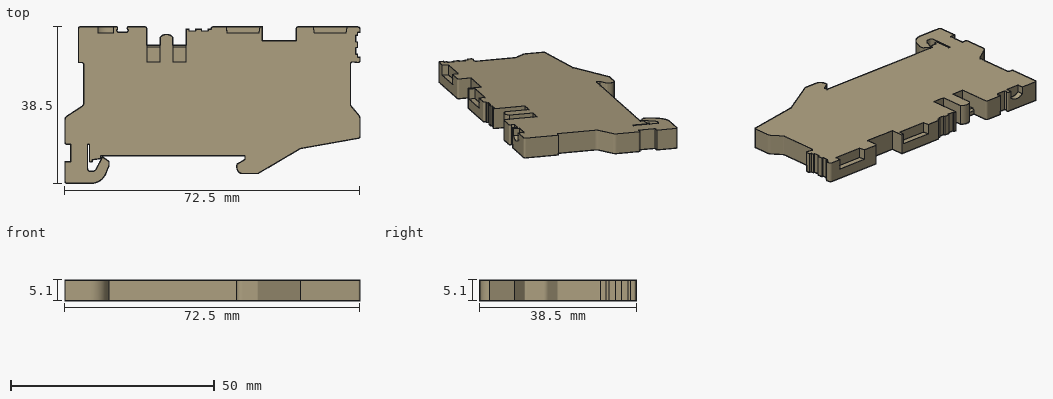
import cadquery as cq
import math

length = 72.5
height = 38.5
thickness = 5.1

edge_round = 0.5
shoulder_round = 1.0
hook_tip_round = 0.2
foot_round = 1.5

head_left = 3.3
head_bottom = 29.7
head_right_bottom = 29.6
waist_top_right = 29.9
waist_left = 4.6
waist_right = 70.15
head_right_round = 0.7

shoulder_top = 19.25
shoulder_bottom = 16.2
latch_recess_depth = 1.4
latch_recess_bottom = 5.35
latch_recess_top = 9.6

slit_left = 5.6
slit_right = 6.0
slit_bottom = 3.0
stub_bottom = 5.25
stub_right = 6.75
stub_shelf = 5.8
stub_round = 0.35
slit_round = 0.6
hook_root = 7.4
hook_root_round = 1.0
hook_tip_x = 9.2
hook_tip_y = 6.55
hook_right = 10.85
hook_nose_top = 5.4
hook_nose_bottom = 4.4
hook_heel = 9.1
hook_heel_round = 4.0

rail_left = 8.8
rail_right = 44.2
rail_seat = 6.8
rail_stub_bottom = 6.1
foot_neck_bottom = 5.9
foot_left = 42.2
foot_neck_drop = 1.2
foot_bottom = 2.4
foot_heel = 47.4
heel_round = 0.5
belly_x = 57.85
belly_y = 8.55
right_bottom = 11.15
right_shoulder_top = 19.2
right_shoulder_bottom = 16.4
right_shoulder_round = 1.5

bay_left = 20.1
bay_right = 29.75
bay_floor = 29.85
finger_left = 23.4
finger_right = 26.5
finger_shoulder = 35.9
finger_top = 36.65
web_top = 34.0
web_thickness = 1.5
web_chamfer = 0.5

gap_left = 48.5
gap_right = 56.8
gap_floor = 35.1

notch_left = 12.95
notch_right = 15.3
notch_floor = 37.2
notch_undercut = 0.25
notch_belly = 37.6
notch_neck = 38.0
notch_mouth_round = 0.3
notch_belly_round = 0.15

groove_count = 2
groove_width = 1.6
groove_pitch = 3.05
top_seat_end = 35.9
top_seat = height - 0.6
top_groove_depth = 0.4
top_groove_start = 30.5
side_seat_bottom = 31.0
side_seat_top = 37.1
side_seat_depth = 0.6
side_groove_depth = 0.45
side_groove_start = 31.75

pocket_height = 1.55
pocket_depth = 2.55
pocket_mouth = 8.3
pocket_draft = 0.25
pocket_lefts = (39.6, 61.0)
round_pocket_left = 8.15
round_pocket_width = 3.75
round_pocket_wall = 1.8
round_pocket_sag = 0.75


def rounded_outline(corners):
    """Closed wire through (x, y, radius) corners, each rounded by a tangent arc."""
    path = None
    count = len(corners)
    for i, (x, y, radius) in enumerate(corners):
        before = cq.Vector(*corners[i - 1][:2])
        after = cq.Vector(*corners[(i + 1) % count][:2])
        corner = cq.Vector(x, y)
        to_before = (before - corner).normalized()
        to_after = (after - corner).normalized()
        half_angle = to_before.getAngle(to_after) / 2
        setback = radius / math.tan(half_angle)
        start = corner + to_before * setback
        path = path.lineTo(start.x, start.y) if path else cq.Workplane().moveTo(start.x, start.y)
        if radius > 0:
            bisector = (to_before + to_after).normalized()
            middle = corner + bisector * (radius / math.sin(half_angle) - radius)
            end = corner + to_after * setback
            path = path.threePointArc((middle.x, middle.y), (end.x, end.y))
    return path.close()


def box(left, bottom, right, top):
    """Block through the full thickness of the housing."""
    size = (right - left, top - bottom, thickness)
    return cq.Workplane().box(*size, centered=False).translate((left, bottom, 0))


def housing():
    """Plate with the full side outline, listed clockwise from the upper left corner."""
    head = [
        (head_left, height, edge_round),
        (notch_left, height, notch_mouth_round),
        (notch_left, notch_neck, 0),
        (notch_left - notch_undercut, notch_belly, notch_belly_round),
        (notch_left, notch_floor, 0),
        (notch_right, notch_floor, 0),
        (notch_right + notch_undercut, notch_belly, notch_belly_round),
        (notch_right, notch_neck, 0),
        (notch_right, height, notch_mouth_round),
        (bay_left, height, edge_round),
        (bay_left, bay_floor, 0),
        (bay_right, bay_floor, 0),
        (bay_right, top_seat, 0),
        (top_seat_end, top_seat, 0),
        (top_seat_end, height, edge_round),
        (gap_left, height, 0),
        (gap_left, gap_floor, 0),
        (gap_right, gap_floor, 0),
        (gap_right, height, edge_round),
        (length, height, head_right_round),
        (length, head_right_bottom, edge_round),
        (waist_right, waist_top_right, edge_round),
    ]
    right_side = [
        (waist_right, right_shoulder_top, edge_round),
        (length, right_shoulder_bottom, right_shoulder_round),
        (length, right_bottom, edge_round),
        (belly_x, belly_y, 0),
    ]
    right_foot = [
        (foot_heel, foot_bottom, heel_round),
        (foot_left, foot_bottom, foot_round),
        (foot_left, foot_neck_bottom - foot_neck_drop, edge_round),
        (rail_right, foot_neck_bottom, 0),
        (rail_right, rail_seat, 0),
    ]
    slit = [
        (rail_left, rail_seat, 0),
        (rail_left, rail_stub_bottom, 0),
        (stub_right, stub_shelf, 0),
        (stub_right, stub_bottom, stub_round),
        (slit_right, stub_bottom, stub_round),
        (slit_right, latch_recess_top, 0),
        (slit_left, latch_recess_top, 0),
        (slit_left, slit_bottom, slit_round),
        (hook_root, slit_bottom, hook_root_round),
    ]
    hook = [
        (hook_tip_x, hook_tip_y, hook_tip_round),
        (hook_right, hook_nose_top, edge_round),
        (hook_right, hook_nose_bottom, edge_round),
        (hook_heel, 0, hook_heel_round),
    ]
    left_side = [
        (0, 0, edge_round),
        (0, latch_recess_bottom, 0),
        (latch_recess_depth, latch_recess_bottom, 0),
        (latch_recess_depth, latch_recess_top, 0),
        (0, latch_recess_top, edge_round),
        (0, shoulder_bottom, shoulder_round),
        (waist_left, shoulder_top, shoulder_round),
        (waist_left, head_bottom, edge_round),
        (head_left, head_bottom, 0),
    ]
    corners = head + right_side + right_foot + slit + hook + left_side
    return rounded_outline(corners).extrude(thickness)


def plug_bay_finger():
    middle = (finger_left + finger_right) / 2
    return (
        cq.Workplane()
        .moveTo(finger_left, bay_floor)
        .lineTo(finger_left, finger_shoulder)
        .threePointArc((middle, finger_top), (finger_right, finger_shoulder))
        .lineTo(finger_right, bay_floor)
        .close()
        .extrude(thickness)
    )


def plug_bay_web():
    size = (bay_right - bay_left, web_top - bay_floor, web_thickness)
    web = cq.Workplane().box(*size, centered=False)
    web = web.faces(">Y").edges(">Z").chamfer(web_chamfer)
    return web.translate((bay_left, bay_floor, 0))


def top_marker_groove(left):
    return box(left, top_seat - top_groove_depth, left + groove_width, height)


def side_marker_seat():
    seat_floor = length - side_seat_depth
    seat = box(seat_floor, side_seat_bottom, length, side_seat_top)
    for i in range(groove_count):
        bottom = side_groove_start + i * groove_pitch
        seat = seat.union(box(seat_floor - side_groove_depth, bottom, length, bottom + groove_width))
    return seat


def tapered_pocket(left):
    right = left + pocket_mouth
    bottom = height - pocket_height
    corners = [
        (left, height),
        (left + pocket_draft, bottom),
        (right - pocket_draft, bottom),
        (right, height),
    ]
    return (
        cq.Workplane(origin=(0, 0, thickness - pocket_depth))
        .polyline(corners)
        .close()
        .extrude(pocket_depth)
    )


def round_pocket():
    """Pocket whose floor is a trough running along Y."""
    right = round_pocket_left + round_pocket_width
    middle = round_pocket_left + round_pocket_width / 2
    wall_end = thickness - round_pocket_wall
    return (
        cq.Workplane("XZ", origin=(0, height, 0))
        .moveTo(round_pocket_left, thickness)
        .lineTo(round_pocket_left, wall_end)
        .threePointArc((middle, wall_end - round_pocket_sag), (right, wall_end))
        .lineTo(right, thickness)
        .close()
        .extrude(pocket_height)
    )


result = housing().union(plug_bay_finger()).union(plug_bay_web())
for groove in range(groove_count):
    result = result.cut(top_marker_groove(top_groove_start + groove * groove_pitch))
result = result.cut(side_marker_seat())
for pocket_left in pocket_lefts:
    result = result.cut(tapered_pocket(pocket_left))
result = result.cut(round_pocket())